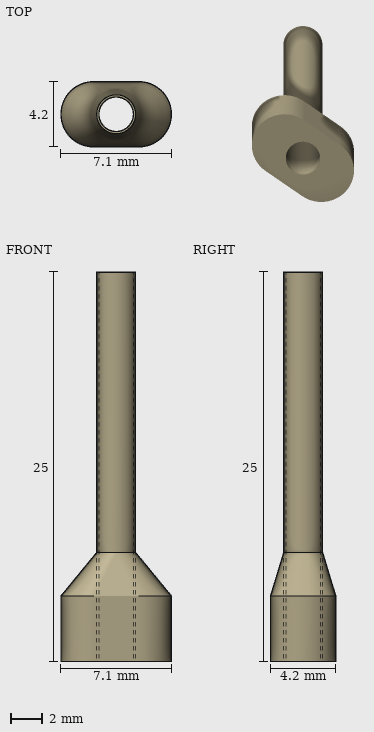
import cadquery as cq

total_height = 25.0
collar_length = 7.1
collar_width = 4.2
collar_straight_height = 4.2
collar_taper_height = 2.8

tube_diameter = 2.5
bore_diameter = 2.2

collar_height = collar_straight_height + collar_taper_height
end_radius = collar_width / 2
tube_radius = tube_diameter / 2
half_flat = (collar_length - collar_width) / 2


def make_tube():
    """Straight thin-walled tube that runs through the collar to its lower face."""
    return cq.Workplane("XY").circle(tube_radius).circle(bore_diameter / 2).extrude(total_height)


def make_collar_base():
    """Prism with straight sides and fully rounded ends."""
    return cq.Workplane("XY").slot2D(collar_length, collar_width).extrude(collar_straight_height)


def make_taper_end(side):
    """Half of the transition: a half-circle at the collar end ruled to half of the tube circle.

    side is +1 for the +X end and -1 for the -X end.
    """

    def half_disc(radius, center_x, z):
        arc = cq.Edge.makeThreePointArc(
            cq.Vector(center_x, -radius, z),
            cq.Vector(center_x + side * radius, 0, z),
            cq.Vector(center_x, radius, z),
        )
        chord = cq.Edge.makeLine(arc.endPoint(), arc.startPoint())
        return cq.Wire.assembleEdges([arc, chord])

    lower = half_disc(end_radius, side * half_flat, collar_straight_height)
    upper = half_disc(tube_radius, 0, collar_height)
    return cq.Workplane(cq.Solid.makeLoft([lower, upper], True))


def make_taper_middle():
    """Wedge between the two taper ends, with a flat triangle on each side."""
    wedge_profile = [
        (-half_flat, collar_straight_height),
        (half_flat, collar_straight_height),
        (0, collar_height),
    ]
    side_profile = [
        (-end_radius, collar_straight_height),
        (end_radius, collar_straight_height),
        (tube_radius, collar_height),
        (-tube_radius, collar_height),
    ]
    wedge = cq.Workplane("XZ").polyline(wedge_profile).close().extrude(end_radius, both=True)
    side_limits = cq.Workplane("YZ").polyline(side_profile).close().extrude(half_flat, both=True)
    return wedge.intersect(side_limits)


def make_collar():
    """Insulating collar with a round passage that fits the tube."""
    collar = make_collar_base().union(make_taper_middle())
    for side in (-1, 1):
        collar = collar.union(make_taper_end(side))
    passage = cq.Workplane("XY").circle(tube_radius).extrude(collar_height)
    return collar.cut(passage).solids()


tube = make_tube()
collar = make_collar()
result = cq.Compound.makeCompound([tube.val(), collar.val()])